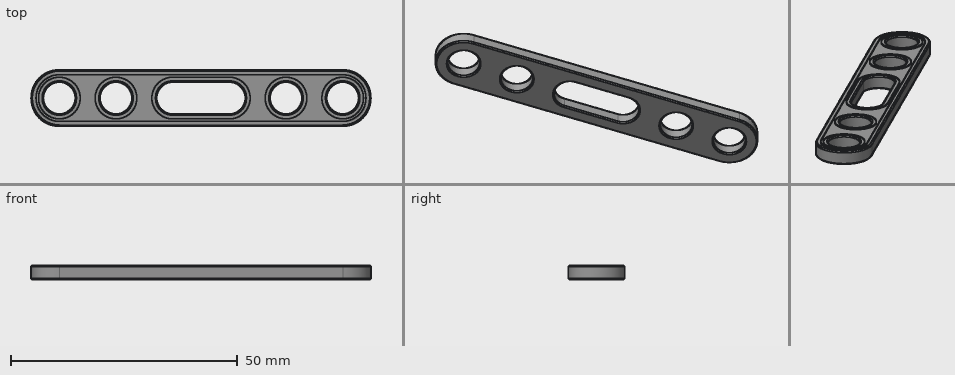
import cadquery as cq

pitch = 12.5
length = 6 * pitch
width = pitch
thickness = pitch / 4
rim_chamfer = 0.3

hole_diameter = 7.0
hole_positions = [-2.5 * pitch, -1.5 * pitch, 1.5 * pitch, 2.5 * pitch]
slot_length = pitch + hole_diameter

recess_depth = 0.2
recess_floor = thickness - recess_depth
border_width = 1.1
collar_diameter = 9.2
slot_collar_length = pitch + collar_diameter


def rounded_bar(bar_length, bar_width, height, base_z=0.0):
    """Solid bar with full-round ends, lying along X."""
    return cq.Workplane("XY").workplane(offset=base_z).slot2D(bar_length, bar_width).extrude(height)


def cylinders(diameter, height, base_z=0.0):
    """Upright cylinders at every round hole position."""
    centers = [(x, 0) for x in hole_positions]
    return cq.Workplane("XY").workplane(offset=base_z).pushPoints(centers).circle(diameter / 2).extrude(height)


def make_plate():
    """Plate with its openings, all rims chamfered on both faces."""
    plate = rounded_bar(length, width, thickness)
    plate = plate.cut(cylinders(hole_diameter, thickness))
    plate = plate.cut(rounded_bar(slot_length, hole_diameter, thickness))
    return plate.faces("<Z or >Z").chamfer(rim_chamfer)


def make_recess():
    """Volume removed from the top face, leaving the border and collars standing."""
    field_length = length - 2 * border_width
    field_width = width - 2 * border_width
    field = rounded_bar(field_length, field_width, recess_depth, recess_floor)
    field = field.cut(cylinders(collar_diameter, recess_depth, recess_floor))
    return field.cut(rounded_bar(slot_collar_length, collar_diameter, recess_depth, recess_floor))


result = make_plate().cut(make_recess())